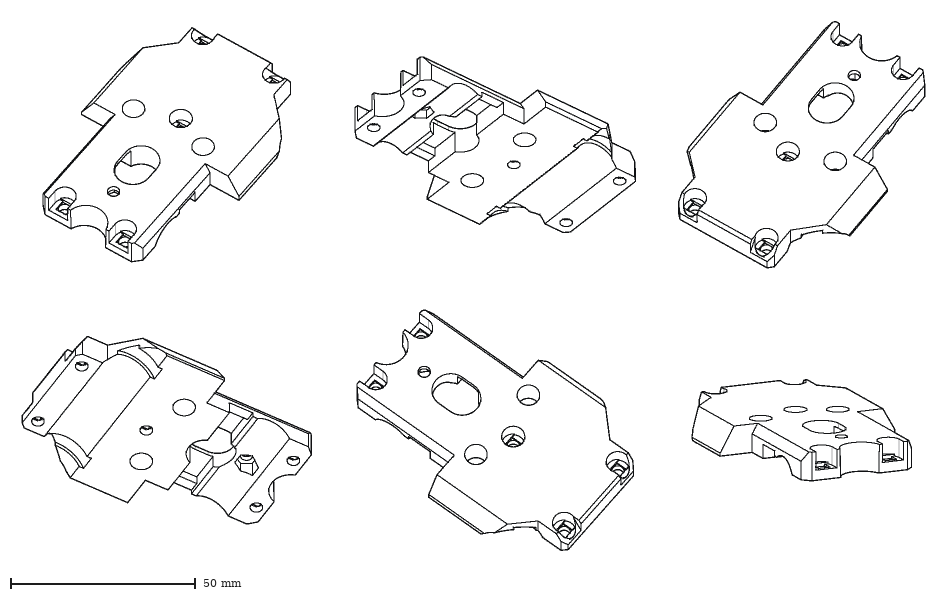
import cadquery as cq
import math

length = 73.5
thickness = 8.0
slope_angle = math.radians(60)

body_width = 52.0
body_half_width = body_width / 2
body_front_y = 34.0
body_left_slope = 4.1
body_right_slope = 3.6

tail_half_width = 16.5
tail_slope = 1.6
tail_corner = 2.2

head_left_x = -14.9
head_right_x = 16.5
head_base_y = 64.25
head_corner = 1.4
rear_slope = 0.7
rear_corner_slope = 2.95
rear_corner_left_x = -8.0
rear_corner_right_x = 9.5

screw_bore = 3.4
counterbore = 6.25
counterbore_depth = 4.6
step_depth = 0.5
rear_screws = [(-10.95, 70.05), (12.5, 70.05)]
center_screw = (0.5, 43.1)
front_screws = [(-9.9, 3.1), (9.9, 3.1)]

post_bore = 6.1
post_holes = [(-11.9, 38.5), (11.0, 38.5)]
slot_length = 14.05
slot_width = 10.15
slot_y = 23.1
pin_bore = 3.3
pin_y = 12.0
nut_flats = 5.5
nut_floor_z = 6.5

relief_radius = 5.95
relief_axis_y = -1.9
relief_lean = 0.7

axle_radius = 7.6
axle_y = 58.95
axle_z = -3.2
bearing_radius = 8.8
bearing_inner_x = 16.9
bearing_outer_x = 21.1
notch_front_y = 19.6
notch_rear_y = 27.0
notch_height = 4.0
pocket_half_width = 13.6
pocket_height = 6.6
ledge_height = 2.5
shaft_radius = 6.75
shaft_y = 14.2
shaft_z = -3.0

overlap = 0.7


def box(x_range, y_range, z_range):
    """Box spanning the given (low, high) ranges."""
    lows = (x_range[0], y_range[0], z_range[0])
    sizes = [r[1] - r[0] for r in (x_range, y_range, z_range)]
    return cq.Workplane("XY").box(*sizes, centered=False).translate(lows)


def cross_cylinder(radius, y, z, x_start, x_end):
    """Cylinder with its axis along X."""
    return cq.Workplane("YZ", origin=(x_start, 0, 0)).center(y, z).circle(radius).extrude(x_end - x_start)


def flank_profile(half_width, left_run, right_run):
    """XZ section with both flanks leaning inward at the top."""
    left_z = thickness - left_run * math.tan(slope_angle)
    right_z = thickness - right_run * math.tan(slope_angle)
    return [
        (-half_width, 0),
        (half_width, 0),
        (half_width, right_z),
        (half_width - right_run, thickness),
        (-half_width + left_run, thickness),
        (-half_width, left_z),
    ]


def prism_along_y(profile, y_start, y_end):
    plane = cq.Workplane("XZ", origin=(0, y_start, 0))
    return plane.polyline(profile).close().extrude(y_start - y_end)


def make_body():
    left_taper = body_half_width + head_left_x
    right_taper = body_half_width - head_right_x
    outline = [
        (-body_half_width, body_front_y),
        (body_half_width, body_front_y),
        (body_half_width, head_base_y - right_taper),
        (head_right_x, head_base_y),
        (head_left_x, head_base_y),
        (-body_half_width, head_base_y - left_taper),
    ]
    profile = flank_profile(body_half_width, body_left_slope, body_right_slope)
    sloped = prism_along_y(profile, body_front_y, head_base_y)
    return cq.Workplane("XY").polyline(outline).close().extrude(thickness).intersect(sloped)


def make_tail():
    profile = flank_profile(tail_half_width, tail_slope, tail_slope)
    outline = [
        (-tail_half_width + tail_corner, 0),
        (tail_half_width - tail_corner, 0),
        (tail_half_width, tail_corner),
        (tail_half_width, body_front_y),
        (-tail_half_width, body_front_y),
        (-tail_half_width, tail_corner),
    ]
    sloped = prism_along_y(profile, 0, body_front_y)
    return cq.Workplane("XY").polyline(outline).close().extrude(thickness).intersect(sloped)


def rear_slope_cutter(run, x_start, x_end):
    """Wedge that slopes the top rear edge between two X positions."""
    drop = run * math.tan(slope_angle)
    wedge = [(length - run, thickness), (length, thickness), (length, thickness - drop)]
    plane = cq.Workplane("YZ", origin=(x_start, 0, 0))
    return plane.polyline(wedge).close().extrude(x_end - x_start)


def make_head():
    head = box((head_left_x, head_right_x), (head_base_y, length), (0, thickness))
    head = head.edges("|Z and >Y").chamfer(head_corner)
    head = head.cut(rear_slope_cutter(rear_slope, head_left_x, head_right_x))
    head = head.cut(rear_slope_cutter(rear_corner_slope, head_left_x, rear_corner_left_x))
    return head.cut(rear_slope_cutter(rear_corner_slope, rear_corner_right_x, head_right_x))


def vertical_cylinder(x, y, diameter, z_floor):
    plane = cq.Workplane("XY", origin=(x, y, z_floor))
    return plane.circle(diameter / 2).extrude(thickness + overlap - z_floor)


def screw_seat(x, y, open_front=False):
    """Stepped screw seat; an open seat runs out through the front end."""
    seat_z = thickness - counterbore_depth
    cross_z = seat_z - step_depth
    square_z = cross_z - step_depth
    z_top = thickness + overlap
    seat_radius = counterbore / 2
    half = screw_bore / 2
    seat_x = (x - seat_radius, x + seat_radius)
    hole_x = (x - half, x + half)
    hole_y = (y - half, y + half)

    bore = vertical_cylinder(x, y, screw_bore, -overlap)
    seat = vertical_cylinder(x, y, counterbore, seat_z)
    deep_seat = vertical_cylinder(x, y, counterbore, cross_z)
    cross_step = deep_seat.intersect(box(seat_x, hole_y, (cross_z, z_top)))
    square_step = box(hole_x, hole_y, (square_z, z_top))
    cutter = bore.union(seat).union(cross_step).union(square_step)
    if open_front:
        run_out = box(seat_x, (-overlap, y), (cross_z, z_top))
        cutter = cutter.union(run_out)
    return cutter


def front_relief():
    """Leaning cylinder that hollows the front end."""
    axis = cq.Vector(0, relief_lean, thickness)
    start = cq.Vector(0, relief_axis_y, 0) - axis
    height = 3 * axis.Length
    return cq.Workplane(cq.Solid.makeCylinder(relief_radius, height, start, axis))


plate = make_body().union(make_tail()).union(make_head())

across = (-body_half_width - overlap, body_half_width + overlap)
plate = plate.cut(cross_cylinder(axle_radius, axle_y, axle_z, *across))
plate = plate.cut(cross_cylinder(bearing_radius, axle_y, axle_z, -bearing_outer_x, -bearing_inner_x))
plate = plate.cut(cross_cylinder(bearing_radius, axle_y, axle_z, bearing_inner_x, bearing_outer_x))
plate = plate.cut(cross_cylinder(shaft_radius, shaft_y, shaft_z, *across))
plate = plate.cut(box(across, (notch_front_y, notch_rear_y), (-overlap, notch_height)))
middle = (-pocket_half_width, pocket_half_width)
plate = plate.cut(box(middle, (notch_front_y, notch_rear_y), (-overlap, pocket_height)))
plate = plate.cut(box(across, (shaft_y, notch_rear_y), (-overlap, ledge_height)))

for hole_x, hole_y in post_holes:
    plate = plate.cut(vertical_cylinder(hole_x, hole_y, post_bore, -overlap))
plate = plate.cut(vertical_cylinder(0, pin_y, pin_bore, -overlap))
slot = cq.Workplane("XY").center(0, slot_y).slot2D(slot_length, slot_width, 90).extrude(thickness)
plate = plate.cut(slot)

nut_corners = nut_flats / math.cos(math.radians(30))
nut = cq.Workplane("XY").center(0, pin_y).polygon(6, nut_corners).extrude(nut_floor_z)
plate = plate.cut(nut)

for screw_x, screw_y in rear_screws + [center_screw]:
    plate = plate.cut(screw_seat(screw_x, screw_y))
for screw_x, screw_y in front_screws:
    plate = plate.cut(screw_seat(screw_x, screw_y, open_front=True))

result = plate.cut(front_relief())